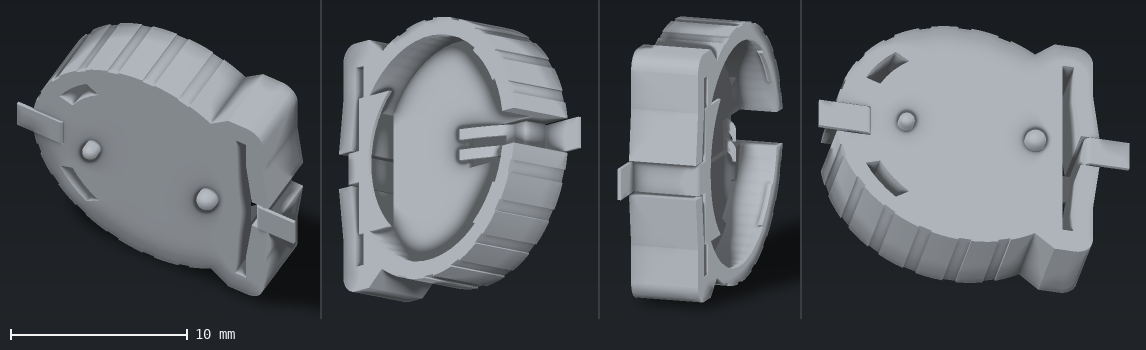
import cadquery as cq
import math


groove_width = 0.75
groove_depth = 0.1
disc_half_height = 7.49
disc_radius = math.hypot(disc_half_height, groove_width / 2)
housing_depth = 4.0
floor_thickness = 1.8
cell_radius = 6.5

lip_radius = 6.3
lip_land = 0.2
lip_slope_height = 0.2

groove_pitch = 18
groove_first = 72

head_foot_x = 4.07
head_foot_z = math.sqrt(disc_radius**2 - head_foot_x**2)
head_shoulder_x = 5.2
head_half_height = 7.2
head_side_x = 7.43
head_corner_radius = 1.03
arm_bend_z = 3.96
arm_lean = 0.38

slot_left_x = 5.65
slot_right_x = 6.35
slot_half_height = 5.78

notch_half_width = 1.0
notch_floor_x = -5.47

window_inner_radius = 5.62
window_outer_angles = (128.2, 152.4)
window_inner_angles = (125.2, 151.1)

peg_length = 0.94
pegs = [(-3.5, 0.45), (4.01, 0.6)]

sheet = 0.2
contact_half_width = 0.9
contact_front_y = -0.1
inner_bend = 0.07
outer_bend = inner_bend + sheet

left_tab_x = -8.48
pocket_y = 1.4
spring_base_end_x = -4.68
ramp_height = 0.29
ramp_angle = 40
spring_arc_radius = 10.44
spring_start_angle = 34
spring_tip_angle = 18
finger_gap_half_width = 0.29
finger_gap_fillet = 0.09
pocket_end_x = -0.9

overall_length = 18
right_tab_x = left_tab_x + overall_length
right_leg_x = 6.97
right_tab_bend = 0.36
plate_half_height = 3.95
plate_right_x = 6.08
plate_arc_radius = 5.22


def block(x0, x1, y0, y1, half_height):
    """Box between two X and two Y planes, centred on Z = 0."""
    size = (x1 - x0, y1 - y0, 2 * half_height)
    return cq.Workplane("XY").box(*size).translate(((x0 + x1) / 2, (y0 + y1) / 2, 0))


def polar(radius, degrees):
    angle = math.radians(degrees)
    return radius * math.cos(angle), radius * math.sin(angle)


def along_y(sketch, depth):
    """Extrude a closed XZ outline from its plane toward +Y."""
    return sketch.close().extrude(-depth)


def clip_head():
    """Head on the +X side that carries the two arms, without its slot."""
    return along_y(
        cq.Workplane("XZ")
        .moveTo(0, -head_foot_z)
        .lineTo(head_foot_x, -head_foot_z)
        .lineTo(head_shoulder_x, -head_half_height)
        .lineTo(head_side_x - head_corner_radius, -head_half_height)
        .radiusArc((head_side_x, head_corner_radius - head_half_height), -head_corner_radius)
        .lineTo(head_side_x, -arm_bend_z)
        .lineTo(head_side_x + arm_lean, -notch_half_width)
        .lineTo(head_side_x + arm_lean, notch_half_width)
        .lineTo(head_side_x, arm_bend_z)
        .lineTo(head_side_x, head_half_height - head_corner_radius)
        .radiusArc((head_side_x - head_corner_radius, head_half_height), -head_corner_radius)
        .lineTo(head_shoulder_x, head_half_height)
        .lineTo(head_foot_x, head_foot_z)
        .lineTo(0, head_foot_z),
        housing_depth,
    )


def arm_slot():
    """Slot between the cup and the two spring arms."""
    return along_y(
        cq.Workplane("XZ")
        .moveTo(slot_left_x, -slot_half_height)
        .lineTo(slot_right_x, -slot_half_height)
        .lineTo(slot_right_x, -arm_bend_z)
        .lineTo(slot_right_x + arm_lean, -notch_half_width)
        .lineTo(slot_right_x + arm_lean, notch_half_width)
        .lineTo(slot_right_x, arm_bend_z)
        .lineTo(slot_right_x, slot_half_height)
        .lineTo(slot_left_x, slot_half_height),
        housing_depth,
    )


def window_sector(depth):
    """Curved prism over the upper floor window, from the front face up to the given depth."""
    outer_start, outer_end = window_outer_angles
    inner_start, inner_end = window_inner_angles
    return along_y(
        cq.Workplane("XZ")
        .moveTo(*polar(cell_radius, outer_start))
        .threePointArc(
            polar(cell_radius, (outer_start + outer_end) / 2),
            polar(cell_radius, outer_end),
        )
        .lineTo(*polar(window_inner_radius, inner_end))
        .threePointArc(
            polar(window_inner_radius, (inner_start + inner_end) / 2),
            polar(window_inner_radius, inner_start),
        ),
        depth,
    )


def snap_lip():
    """Hook over the rim of the cell, straight behind the upper floor window."""
    ring = (
        cq.Workplane("XY")
        .moveTo(cell_radius, housing_depth)
        .lineTo(lip_radius, housing_depth)
        .lineTo(lip_radius, housing_depth - lip_land)
        .lineTo(cell_radius, housing_depth - lip_land - lip_slope_height)
        .close()
        .revolve(360, (0, 0), (0, 1))
    )
    return ring.intersect(window_sector(housing_depth))


def cell_cavity():
    cavity = cq.Workplane("XZ", origin=(0, floor_thickness, 0)).circle(cell_radius)
    cavity = cavity.extrude(floor_thickness - housing_depth)
    lip = snap_lip()
    return cavity.cut(lip).cut(lip.mirror("XY"))


def grip_groove(degrees):
    groove_floor = disc_radius - groove_depth
    groove = block(groove_floor, disc_radius + groove_depth, 0, housing_depth, groove_width / 2)
    return groove.rotate((0, 0, 0), (0, 1, 0), -degrees)


def peg(x, radius):
    """Round-ended peg, turned about its own axis along Y."""
    return (
        cq.Workplane("XY")
        .lineTo(radius, 0)
        .lineTo(radius, radius - peg_length)
        .radiusArc((0, -peg_length), radius)
        .close()
        .revolve(360, (0, 0), (0, 1))
        .translate((x, 0, 0))
    )


def make_housing():
    body = cq.Workplane("XZ").circle(disc_radius).extrude(-housing_depth).union(clip_head())

    for degrees in range(groove_first, 360 - groove_first + 1, groove_pitch):
        if degrees != 180:
            body = body.cut(grip_groove(degrees))

    body = body.cut(cell_cavity()).cut(arm_slot())
    window = window_sector(floor_thickness)
    body = body.cut(window).cut(window.mirror("XY"))

    body = body.cut(block(-disc_radius, notch_floor_x, 0, housing_depth, notch_half_width))
    arm_tip_x = head_side_x + arm_lean
    body = body.cut(block(slot_right_x, arm_tip_x, 0, housing_depth, notch_half_width))

    pocket = block(notch_floor_x, pocket_end_x, pocket_y, floor_thickness, notch_half_width)
    body = body.cut(pocket)
    pocket_edge = cq.selectors.NearestToPointSelector((notch_floor_x, pocket_y, 0))
    body = body.edges(pocket_edge).fillet(inner_bend)

    body = body.cut(block(0, plate_right_x, housing_depth - sheet, housing_depth, plate_half_height))

    for x, radius in pegs:
        body = body.union(peg(x, radius))
    return body.solids().val()


def make_spring_contact():
    leg_outer_x = notch_floor_x - sheet
    tab_back_y = contact_front_y + sheet
    base_y = pocket_y + sheet
    root = math.radians(spring_start_angle)
    tip = math.radians(spring_tip_angle)
    middle = (root + tip) / 2
    finger_root_x = spring_base_end_x + ramp_height / math.tan(math.radians(ramp_angle))
    finger_root_y = base_y + ramp_height
    arc_x = finger_root_x + spring_arc_radius * math.sin(root)
    arc_y = finger_root_y - spring_arc_radius * math.cos(root)

    def spring_point(radius, slope):
        return arc_x - radius * math.sin(slope), arc_y + radius * math.cos(slope)

    ramp_under_x = spring_base_end_x + sheet * math.tan(math.radians(ramp_angle) / 2)
    under_radius = spring_arc_radius - sheet
    contact = (
        cq.Workplane("XY")
        .moveTo(left_tab_x, contact_front_y)
        .lineTo(notch_floor_x - outer_bend, contact_front_y)
        .radiusArc((notch_floor_x, contact_front_y + outer_bend), -outer_bend)
        .lineTo(notch_floor_x, pocket_y - inner_bend)
        .radiusArc((notch_floor_x + inner_bend, pocket_y), inner_bend)
        .lineTo(ramp_under_x, pocket_y)
        .lineTo(*spring_point(under_radius, root))
        .threePointArc(spring_point(under_radius, middle), spring_point(under_radius, tip))
        .lineTo(*spring_point(spring_arc_radius, tip))
        .threePointArc(spring_point(spring_arc_radius, middle), (finger_root_x, finger_root_y))
        .lineTo(spring_base_end_x, base_y)
        .lineTo(leg_outer_x + outer_bend, base_y)
        .radiusArc((leg_outer_x, base_y - outer_bend), -outer_bend)
        .lineTo(leg_outer_x, tab_back_y + inner_bend)
        .radiusArc((leg_outer_x - inner_bend, tab_back_y), inner_bend)
        .lineTo(left_tab_x, tab_back_y)
        .close()
        .extrude(contact_half_width, both=True)
    )

    gap = block(finger_root_x, arc_x, pocket_y, housing_depth, finger_gap_half_width)
    fingers = contact.cut(gap.edges("|Y and <X").fillet(finger_gap_fillet))
    return fingers.solids().val()


def make_back_contact():
    leg_right_x = right_leg_x + sheet
    tab_back_y = contact_front_y + sheet
    plate_y = housing_depth - sheet
    tab_inner_bend = right_tab_bend - sheet
    strip = (
        cq.Workplane("XY")
        .moveTo(right_tab_x, contact_front_y)
        .lineTo(right_leg_x + right_tab_bend, contact_front_y)
        .radiusArc((right_leg_x, contact_front_y + right_tab_bend), right_tab_bend)
        .lineTo(right_leg_x, plate_y - inner_bend)
        .radiusArc((right_leg_x - inner_bend, plate_y), -inner_bend)
        .lineTo(slot_left_x, plate_y)
        .lineTo(slot_left_x, housing_depth)
        .lineTo(leg_right_x - outer_bend, housing_depth)
        .radiusArc((leg_right_x, housing_depth - outer_bend), outer_bend)
        .lineTo(leg_right_x, tab_back_y + tab_inner_bend)
        .radiusArc((leg_right_x + tab_inner_bend, tab_back_y), -tab_inner_bend)
        .lineTo(right_tab_x, tab_back_y)
        .close()
        .extrude(contact_half_width, both=True)
    )
    plate = block(0, plate_right_x, plate_y, housing_depth, plate_half_height)
    cell_opening = cq.Workplane("XZ").circle(plate_arc_radius).extrude(-housing_depth)
    return strip.union(plate.cut(cell_opening)).solids().val()


housing = make_housing()
spring_contact = make_spring_contact()
back_contact = make_back_contact()

result = cq.Compound.makeCompound([housing, spring_contact, back_contact])